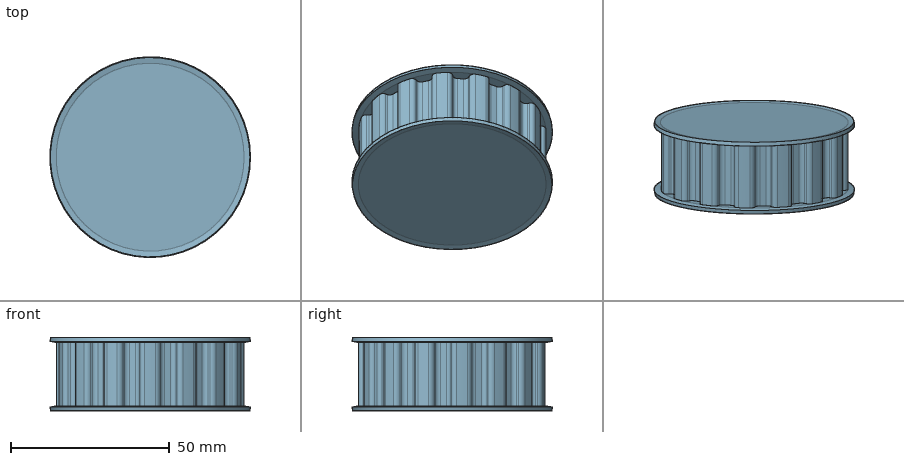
import cadquery as cq
import math

OVERALL_DIAMETER = 63.3
OVERALL_HEIGHT = 23.2
TOOTHED_WIDTH = 20.0
TOOTHED_DIAMETER = 59.3
TOOTH_COUNT = 15
GROOVE_DEPTH = 3.05
GROOVE_FLOOR_WIDTH = 4.2
GROOVE_SIDE_ANGLE = 20.0
GROOVE_RADIUS = 1.6
FLANGE_DISH_ANGLE = 10.0

outer_radius = OVERALL_DIAMETER / 2
toothed_radius = TOOTHED_DIAMETER / 2
groove_pitch_angle = 360 / TOOTH_COUNT
half_width = TOOTHED_WIDTH / 2
half_height = OVERALL_HEIGHT / 2
dish_slope = math.tan(math.radians(FLANGE_DISH_ANGLE))


def make_groove_cutter():
    """Straight-sided groove along Z, centred on +X and open beyond the crests."""
    overshoot = 0.65
    floor_x = toothed_radius - GROOVE_DEPTH
    mouth_x = toothed_radius + overshoot
    floor_y = GROOVE_FLOOR_WIDTH / 2
    mouth_y = floor_y + (mouth_x - floor_x) * math.tan(math.radians(GROOVE_SIDE_ANGLE))
    outline = [
        (floor_x, -floor_y),
        (mouth_x, -mouth_y),
        (mouth_x, mouth_y),
        (floor_x, floor_y),
    ]
    return cq.Workplane("XY").polyline(outline).close().extrude(half_width, both=True)


def make_toothed_body():
    """Cylinder with evenly spaced rounded grooves and one tooth centred on -Y."""
    body = cq.Workplane("XY").circle(toothed_radius).extrude(half_width, both=True)
    cutter = make_groove_cutter()
    for index in range(TOOTH_COUNT):
        body = body.cut(cutter.rotate((0, 0, 0), (0, 0, 1), index * groove_pitch_angle))
    body = body.edges("|Z").fillet(GROOVE_RADIUS)
    return body.rotate((0, 0, 0), (0, 0, 1), groove_pitch_angle / 2 - 90)


def make_top_flange():
    """Sheet disc, flat over the teeth, with a rim flared outward and cut square to the sheet."""
    inner_rim_z = half_width + (outer_radius - toothed_radius) * dish_slope
    sheet_rise = half_height - inner_rim_z
    outer_rim_radius = outer_radius - sheet_rise * dish_slope
    outer_flat_z = half_height - (outer_rim_radius - toothed_radius) * dish_slope
    return (
        cq.Workplane("XZ")
        .moveTo(0, half_width)
        .lineTo(toothed_radius, half_width)
        .lineTo(outer_radius, inner_rim_z)
        .lineTo(outer_rim_radius, half_height)
        .lineTo(toothed_radius, outer_flat_z)
        .lineTo(0, outer_flat_z)
        .close()
        .revolve(360, (0, 0, 0), (0, 1, 0))
    )


top_flange = make_top_flange()
bottom_flange = top_flange.mirror("XY")
result = make_toothed_body().union(top_flange).union(bottom_flange)